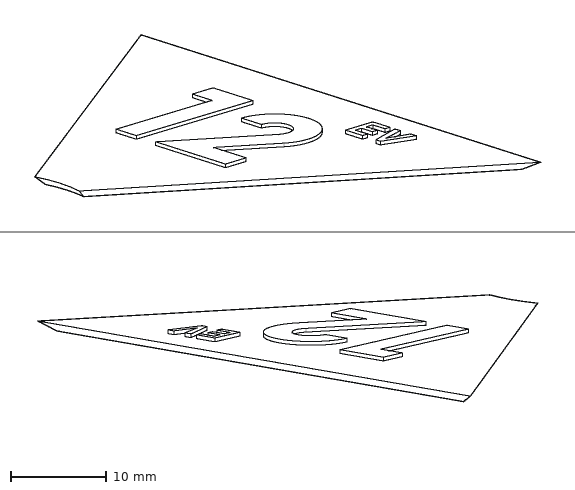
import cadquery as cq
import math

plate_width = 60.2
plate_length = 41.53
plate_thickness = 1.0
tip_width = 6.7
tip_arc_rise = 0.4
edge_bevel_angle = 45.0
back_y = plate_length / 2
tip_y = -plate_length / 2

character_height = 0.4

digit_bottom = -4.25
digit_size = 17.05
digit_top = digit_bottom + digit_size
digit_stroke = 3.03
one_left = -11.05
one_width = 6.0

two_left = -2.13
two_bowl_x = 3.37
two_bowl_radius = 5.0

letter_bottom = digit_top
letter_size = 4.0
letter_top = letter_bottom + letter_size
letter_stroke = 0.72
e_left = 8.9
e_width = 2.55
e_middle_width = 2.35

v_center_x = 13.82
v_top_width = 3.24
v_foot_width = 0.7
v_notch_width = 1.54
v_notch_depth = 2.85


def make_plate():
    """Plate whose edges all lean inwards from the top face to the bottom face."""
    outline = (
        cq.Workplane("XY")
        .workplane(offset=plate_thickness)
        .moveTo(-plate_width / 2, back_y)
        .lineTo(-tip_width / 2, tip_y)
        .threePointArc((0, tip_y + tip_arc_rise), (tip_width / 2, tip_y))
        .lineTo(plate_width / 2, back_y)
        .close()
    )
    return outline.extrude(-plate_thickness, taper=edge_bevel_angle)


def top_face():
    """Workplane on the top face of the plate."""
    return cq.Workplane("XY").workplane(offset=plate_thickness)


def make_digit_one():
    right = one_left + one_width
    stem_left = right - digit_stroke
    flag_bottom = digit_top - digit_stroke
    outline = [
        (one_left, digit_top),
        (right, digit_top),
        (right, digit_bottom),
        (stem_left, digit_bottom),
        (stem_left, flag_bottom),
        (one_left, flag_bottom),
    ]
    return top_face().polyline(outline).close().extrude(character_height)


def make_digit_two():
    """Round bowl running tangentially into a straight diagonal above a flat base."""
    bowl_y = digit_top - two_bowl_radius
    inner_radius = two_bowl_radius - digit_stroke
    right = two_bowl_x + two_bowl_radius
    base_top = digit_bottom + digit_stroke

    rise = bowl_y - digit_bottom
    run = two_bowl_x - two_left
    diagonal_angle = math.atan2(rise, run) - math.asin(inner_radius / math.hypot(run, rise))
    tangent_angle = diagonal_angle - math.pi / 2

    def bowl_point(radius, angle):
        return (two_bowl_x + radius * math.cos(angle), bowl_y + radius * math.sin(angle))

    outer_tangent = bowl_point(two_bowl_radius, tangent_angle)
    crotch_x = outer_tangent[0] - (outer_tangent[1] - base_top) / math.tan(diagonal_angle)

    return (
        top_face()
        .moveTo(two_left, digit_bottom)
        .lineTo(right, digit_bottom)
        .lineTo(right, base_top)
        .lineTo(crotch_x, base_top)
        .lineTo(*outer_tangent)
        .threePointArc(bowl_point(two_bowl_radius, math.pi / 2), bowl_point(two_bowl_radius, math.pi))
        .lineTo(*bowl_point(inner_radius, math.pi))
        .threePointArc(bowl_point(inner_radius, math.pi / 2), bowl_point(inner_radius, tangent_angle))
        .close()
        .extrude(character_height)
    )


def make_letter_e():
    stem_right = e_left + letter_stroke
    right = e_left + e_width
    middle_right = e_left + e_middle_width
    middle_y = (letter_bottom + letter_top) / 2
    middle_top = middle_y + letter_stroke / 2
    middle_bottom = middle_y - letter_stroke / 2
    top_arm_bottom = letter_top - letter_stroke
    bottom_arm_top = letter_bottom + letter_stroke
    outline = [
        (e_left, letter_bottom),
        (right, letter_bottom),
        (right, bottom_arm_top),
        (stem_right, bottom_arm_top),
        (stem_right, middle_bottom),
        (middle_right, middle_bottom),
        (middle_right, middle_top),
        (stem_right, middle_top),
        (stem_right, top_arm_bottom),
        (right, top_arm_bottom),
        (right, letter_top),
        (e_left, letter_top),
    ]
    return top_face().polyline(outline).close().extrude(character_height)


def make_letter_v():
    outline = [
        (v_center_x - v_top_width / 2, letter_top),
        (v_center_x - v_foot_width / 2, letter_bottom),
        (v_center_x + v_foot_width / 2, letter_bottom),
        (v_center_x + v_top_width / 2, letter_top),
        (v_center_x + v_notch_width / 2, letter_top),
        (v_center_x, letter_top - v_notch_depth),
        (v_center_x - v_notch_width / 2, letter_top),
    ]
    return top_face().polyline(outline).close().extrude(character_height)


plate = make_plate()
digit_one = make_digit_one()
digit_two = make_digit_two()
letter_e = make_letter_e()
letter_v = make_letter_v()

result = cq.Compound.makeCompound(
    [
        plate.val(),
        digit_one.val(),
        digit_two.val(),
        letter_e.val(),
        letter_v.val(),
    ]
)